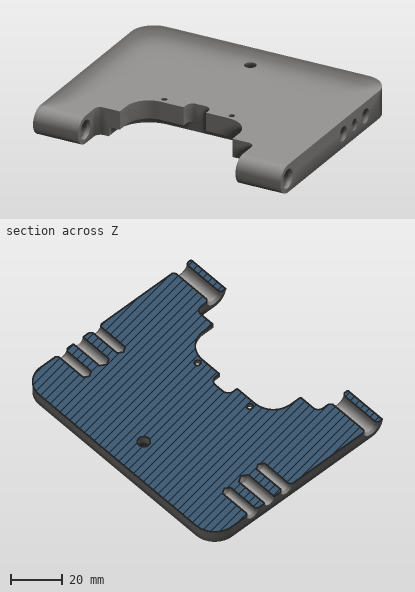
import cadquery as cq

width = 110.0
depth = 90.0
thickness = 12.0
corner_radius = 10.0
front_y = -depth / 2
back_y = depth / 2
mid_z = thickness / 2

arm_width = 20.0
outer_width = width - 2 * arm_width
outer_depth = 15.8
outer_radius = 2.8
inner_width = 50.0
inner_depth = 31.0
inner_radius = 10.0
relief_width = 10.0
relief_radius = 3.0

recess_offset = 5.0
recess_height = 4.1
recess_width = inner_width + 2 * recess_offset
recess_depth = inner_depth + recess_offset
recess_radius = inner_radius + recess_offset

back_hole_diameter = 5.0
back_hole_inset = 14.0
pin_diameter = 2.5
pin_spacing = inner_width - 2 * inner_radius
pin_depth = 33.5

hinge_diameter = 6.0
hinge_chamfer = 1.0

side_hole_inset = 29.9
side_hole_pitch = 9.0
side_hole_depth = 15.0
dowel_diameter = 5.0
screw_diameter = 4.2
screw_chamfer = 1.0
drill_tip_ratio = 0.3


def opening(opening_width, opening_depth, radius, height):
    """Cutter reaching back from the front edge, with rounded back corners."""
    return (
        cq.Workplane("XY")
        .box(opening_width, opening_depth, height, centered=(True, False, False))
        .edges("|Z and >Y")
        .fillet(radius)
        .translate((0, front_y, 0))
    )


def cone(start, direction, start_radius, end_radius, height):
    return cq.Workplane(obj=cq.Solid.makeCone(start_radius, end_radius, height, start, direction))


def side_hole(side, y, diameter, chamfer):
    """Blind drilled hole running inwards from the side face at X = side * width / 2."""
    radius = diameter / 2
    inward = cq.Vector(-side, 0, 0)
    mouth = cq.Vector(side * width / 2, y, mid_z)
    hole = cq.Workplane(obj=cq.Solid.makeCylinder(radius, side_hole_depth, mouth, inward))
    tip_height = diameter * drill_tip_ratio
    hole = hole.union(cone(mouth + inward * side_hole_depth, inward, radius, 0, tip_height))
    if chamfer:
        hole = hole.union(cone(mouth, inward, radius + chamfer, radius, chamfer))
    return hole


plate = (
    cq.Workplane("XY")
    .box(width, depth - mid_z, thickness, centered=(True, False, False))
    .translate((0, front_y + mid_z, 0))
    .edges("|Z and >Y")
    .fillet(corner_radius)
)
hinge_round = (
    cq.Workplane("YZ", origin=(-width / 2, front_y + mid_z, mid_z))
    .circle(mid_z)
    .extrude(width)
)
result = plate.union(hinge_round)

result = result.cut(opening(outer_width, outer_depth, outer_radius, thickness))
result = result.cut(opening(inner_width, inner_depth, inner_radius, thickness))
result = result.cut(opening(relief_width, recess_depth, relief_radius, thickness))
result = result.cut(opening(recess_width, recess_depth, recess_radius, recess_height))

back_hole = (
    cq.Workplane("XY")
    .center(0, back_y - back_hole_inset)
    .circle(back_hole_diameter / 2)
    .extrude(thickness)
)
pin_holes = (
    cq.Workplane("XY")
    .pushPoints([(side * pin_spacing / 2, front_y + pin_depth) for side in (-1, 1)])
    .circle(pin_diameter / 2)
    .extrude(thickness)
)
result = result.cut(back_hole).cut(pin_holes)

hinge_bore = (
    cq.Workplane("YZ", origin=(-width / 2, front_y + mid_z, mid_z))
    .circle(hinge_diameter / 2)
    .extrude(width)
)
result = result.cut(hinge_bore)
hinge_radius = hinge_diameter / 2
for face_x, inward_x in (
    (-width / 2, 1),
    (-outer_width / 2, -1),
    (outer_width / 2, 1),
    (width / 2, -1),
):
    mouth = cq.Vector(face_x, front_y + mid_z, mid_z)
    inward = cq.Vector(inward_x, 0, 0)
    result = result.cut(cone(mouth, inward, hinge_radius + hinge_chamfer, hinge_radius, hinge_chamfer))

for side in (-1, 1):
    dowel_y = back_y - side_hole_inset
    result = result.cut(side_hole(side, dowel_y, dowel_diameter, 0))
    for step in (-1, 1):
        screw_y = dowel_y + step * side_hole_pitch
        result = result.cut(side_hole(side, screw_y, screw_diameter, screw_chamfer))